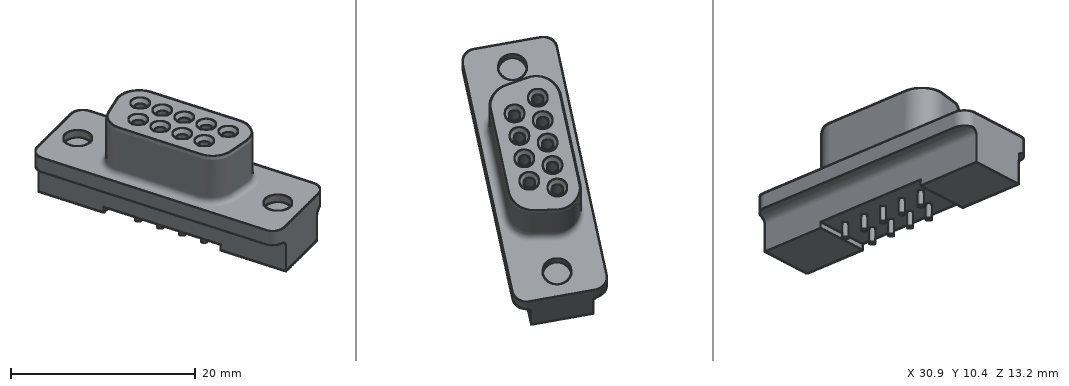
import cadquery as cq
import math

PIN_TIP_Z = 0.0
FOOT_Z = 1.05
RECESS_Z = 1.8
FLANGE_BOTTOM_Z = 5.15
FLANGE_TOP_Z = 7.05
SHELL_TOP_Z = 13.2

LENGTH = 30.9
FLANGE_WIDTH = 10.4
FLANGE_CORNER_RADIUS = 1.5
BODY_WIDTH = 6.85
UNDERSIDE_FILLET = 0.8
RECESS_LENGTH = 14.58

MOUNT_SPACING = 25.0
MOUNT_DIAMETER = 3.12
MOUNT_DEPTH = 1.0

SHELL_MID_WIDTH = 16.12
SHELL_DEPTH = 7.95
SHELL_SIDE_ANGLE = 10.0
SHELL_CORNER_RADIUS = 2.72
SHELL_BASE_FILLET = 0.75
RIM_HEIGHT = 0.45
RIM_INSET = 0.12

BACK_ROW_COUNT = 5
FRONT_ROW_COUNT = 4
CONTACT_PITCH = 2.75
ROW_SPACING = 2.85
SOCKET_DIAMETER = 1.25
SOCKET_MOUTH_DIAMETER = 2.13
SOCKET_MOUTH_DEPTH = 0.5
SOCKET_DEPTH = SHELL_TOP_Z - FLANGE_TOP_Z
PIN_DIAMETER = 0.68

SELECT_MARGIN = 0.03


def contact_row(count, y):
    """Evenly pitched contact positions, centred on X = 0."""
    first_x = -(count - 1) / 2 * CONTACT_PITCH
    return [(first_x + i * CONTACT_PITCH, y) for i in range(count)]


CONTACTS = (
    contact_row(BACK_ROW_COUNT, ROW_SPACING / 2)
    + contact_row(FRONT_ROW_COUNT, -ROW_SPACING / 2)
)


def block(length, width, bottom_z, top_z):
    """Box centred in X and Y between two heights."""
    return (
        cq.Workplane("XY", origin=(0, 0, bottom_z))
        .rect(length, width)
        .extrude(top_z - bottom_z)
    )


def make_base():
    """Flange and body, blended below the flange, with rounded flange corners."""
    flange = block(LENGTH, FLANGE_WIDTH, FLANGE_BOTTOM_Z, FLANGE_TOP_Z)
    body = block(LENGTH, BODY_WIDTH, FOOT_Z, FLANGE_BOTTOM_Z)
    half_body = BODY_WIDTH / 2
    inner_corners = cq.selectors.BoxSelector(
        (-LENGTH, -half_body - SELECT_MARGIN, FLANGE_BOTTOM_Z - SELECT_MARGIN),
        (LENGTH, half_body + SELECT_MARGIN, FLANGE_BOTTOM_Z + SELECT_MARGIN),
    )
    base = flange.union(body).edges(inner_corners).edges("|X").fillet(UNDERSIDE_FILLET)
    envelope = (
        block(LENGTH, FLANGE_WIDTH, FOOT_Z, FLANGE_TOP_Z)
        .edges("|Z")
        .fillet(FLANGE_CORNER_RADIUS)
    )
    recess = block(RECESS_LENGTH, BODY_WIDTH, FOOT_Z, RECESS_Z)
    return base.intersect(envelope).cut(recess)


def make_mounting_holes():
    """Shallow blind holes at both ends of the flange."""
    return (
        cq.Workplane("XY", origin=(0, 0, FLANGE_TOP_Z))
        .pushPoints([(-MOUNT_SPACING / 2, 0), (MOUNT_SPACING / 2, 0)])
        .circle(MOUNT_DIAMETER / 2)
        .extrude(-MOUNT_DEPTH)
    )


def make_shell():
    """D-shaped prism, wider toward +Y, with rounded corners and a bevelled rim."""
    half_depth = SHELL_DEPTH / 2
    half_mid = SHELL_MID_WIDTH / 2
    flare = half_depth * math.tan(math.radians(SHELL_SIDE_ANGLE))
    return (
        cq.Workplane("XY", origin=(0, 0, FLANGE_TOP_Z))
        .polyline(
            [
                (-half_mid - flare, half_depth),
                (half_mid + flare, half_depth),
                (half_mid - flare, -half_depth),
                (-half_mid + flare, -half_depth),
            ]
        )
        .close()
        .extrude(SHELL_TOP_Z - FLANGE_TOP_Z)
        .edges("|Z")
        .fillet(SHELL_CORNER_RADIUS)
        .faces(">Z")
        .chamfer(RIM_HEIGHT, RIM_INSET)
    )


def blend_shell_base(part):
    """Fillet where the shell meets the flange top."""
    reach_x = SHELL_MID_WIDTH / 2 + SELECT_MARGIN
    reach_y = SHELL_DEPTH / 2 + SELECT_MARGIN
    shell_foot = cq.selectors.BoxSelector(
        (-reach_x, -reach_y, FLANGE_TOP_Z - SELECT_MARGIN),
        (reach_x, reach_y, FLANGE_TOP_Z + SELECT_MARGIN),
    )
    return part.edges(shell_foot).fillet(SHELL_BASE_FILLET)


def make_sockets():
    """Blind contact holes with conical lead-in mouths."""
    mouth_radius = SOCKET_MOUTH_DIAMETER / 2
    socket_radius = SOCKET_DIAMETER / 2
    profile = [
        (0, 0),
        (mouth_radius, 0),
        (socket_radius, -SOCKET_MOUTH_DEPTH),
        (socket_radius, -SOCKET_DEPTH),
        (0, -SOCKET_DEPTH),
    ]
    socket = cq.Workplane("XZ").polyline(profile).close().revolve(360, (0, 0), (0, 1)).val()
    return (
        cq.Workplane("XY", origin=(0, 0, SHELL_TOP_Z))
        .pushPoints(CONTACTS)
        .eachpoint(lambda place: socket.moved(place), combine=False)
        .combine()
    )


def make_pins():
    """Solder pins hanging from the recess, one under each socket."""
    return (
        cq.Workplane("XY", origin=(0, 0, PIN_TIP_Z))
        .pushPoints(CONTACTS)
        .circle(PIN_DIAMETER / 2)
        .extrude(RECESS_Z - PIN_TIP_Z)
    )


housing = blend_shell_base(make_base().union(make_shell()))
housing = housing.cut(make_mounting_holes()).cut(make_sockets())
result = housing.union(make_pins())